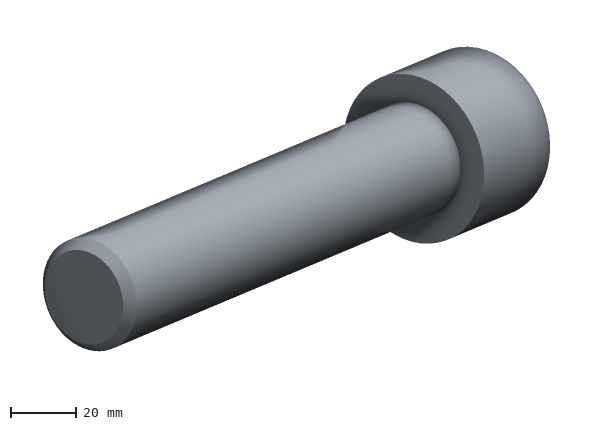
import cadquery as cq

shank_diameter = 36.0
shank_length = 170.0
head_diameter = 54.0
head_height = 36.0
tip_chamfer = 3.0
head_edge_radius = 3.0

bearing_y = 0.0


def cylinder_along_y(diameter, start_y, end_y):
    """Solid cylinder on the Y axis between two Y positions."""
    base = cq.Workplane("XZ", origin=(0, start_y, 0))
    return base.circle(diameter / 2).extrude(start_y - end_y)


def make_head():
    head = cylinder_along_y(head_diameter, bearing_y, bearing_y + head_height)
    return head.faces(">Y").edges().fillet(head_edge_radius)


def make_shank():
    shank = cylinder_along_y(shank_diameter, bearing_y, bearing_y - shank_length)
    return shank.faces("<Y").edges().chamfer(tip_chamfer)


result = make_head().union(make_shank())